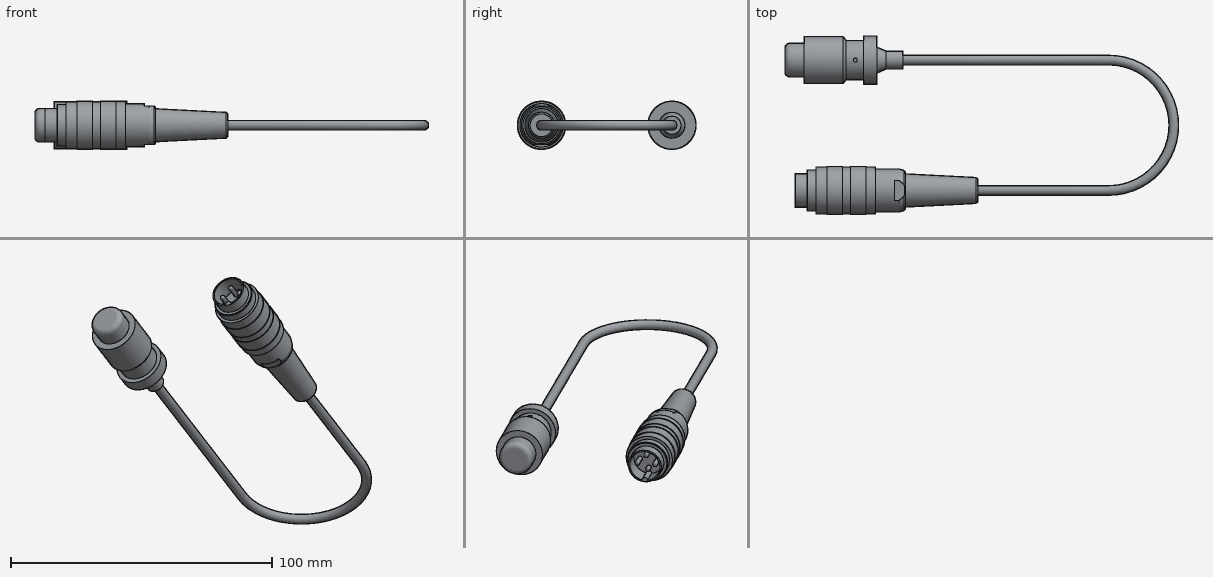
import cadquery as cq
import math

axis_spacing = 49.9
socket_y = axis_spacing / 2
plug_y = -axis_spacing / 2
bend_radius = axis_spacing / 2
cable_diameter = 3.8
overall_length = 150.8
socket_front = bend_radius + cable_diameter / 2 - overall_length
plug_setback = 3.9
plug_front = socket_front + plug_setback

nose_diameter = 13.0
socket_nose_fillet = 2.0
socket_nose_end = 7.4
socket_body_diameter = 18.1
socket_body_end = 22.3
socket_neck_start = 23.5
socket_neck_diameter = 15.1
socket_flange_start = 30.2
flange_diameter = 18.5
socket_flange_end = 35.3
socket_cone_diameter = 10.0
socket_cone_end = 38.8
socket_stem_diameter = 7.0
socket_length = 45.2
neck_hole_diameter = 1.5
neck_hole_station = 27.0
neck_hole_depth = 1.5

plug_nose_end = 4.5
ring_diameter = 15.8
ring_chamfer = 0.3
ring_end = 8.0
grip_diameter = 18.1
grip_end = 30.8
band_starts = (12.2, 21.3)
band_width = 5.9
shell_diameter = 16.6
shell_taper_start = 39.8
shell_taper_end = 41.8
shell_taper_diameter = 15.4
shell_end = 42.2
shell_end_diameter = 14.2
boot_start_diameter = 12.8
boot_end_diameter = 10.0
boot_edge_chamfer = 0.6
plug_length = 70.0
flat_start = 38.0
flat_height = 7.4

cavity_diameter = 11.8
cavity_depth = 7.5
key_diameter = 2.3
pin_circle_radius = 3.5
pin_diameter = 1.8
long_pin_recess = 2.0
short_pin_recess = 5.1
pin_tip_fillet = 0.5
pin_layout = (
    (0, long_pin_recess),
    (90, long_pin_recess),
    (180, long_pin_recess),
    (270, short_pin_recess),
)


def cross_section(x, y):
    """Workplane across a connector axis, drawing toward +X (local x is +Y, local y is +Z)."""
    return cq.Workplane("YZ", origin=(x, y, 0))


def revolved(points, x, y):
    """Turn a closed (station, radius) outline about the connector axis starting at (x, y)."""
    profile = cq.Workplane("XY", origin=(x, y, 0)).polyline(points).close()
    return profile.revolve(360, (0, 0, 0), (1, 0, 0))


def stepped_outline(steps):
    """Outline from the axis through (station, diameter) steps and back to the axis."""
    points = [(station, diameter / 2) for station, diameter in steps]
    return [(steps[0][0], 0), *points, (steps[-1][0], 0)]


def make_socket():
    outline = stepped_outline([
        (0, nose_diameter),
        (socket_nose_end, nose_diameter),
        (socket_nose_end, socket_body_diameter),
        (socket_body_end, socket_body_diameter),
        (socket_neck_start, socket_neck_diameter),
        (socket_flange_start, socket_neck_diameter),
        (socket_flange_start, flange_diameter),
        (socket_flange_end, flange_diameter),
        (socket_flange_end, socket_cone_diameter),
        (socket_cone_end, socket_stem_diameter),
        (socket_length, socket_stem_diameter),
    ])
    socket = revolved(outline, socket_front, socket_y)
    socket = socket.faces("<X").edges().fillet(socket_nose_fillet)
    hole_floor = socket_neck_diameter / 2 - neck_hole_depth
    hole = (
        cq.Workplane("XY", origin=(socket_front + neck_hole_station, socket_y, hole_floor))
        .circle(neck_hole_diameter / 2)
        .extrude(socket_neck_diameter)
    )
    return socket.cut(hole)


def make_plug_shell():
    steps = [
        (0, nose_diameter),
        (plug_nose_end, nose_diameter),
        (plug_nose_end, ring_diameter - 2 * ring_chamfer),
        (plug_nose_end + ring_chamfer, ring_diameter),
        (ring_end, ring_diameter),
        (ring_end, grip_diameter),
    ]
    for start in band_starts:
        steps += [
            (start, grip_diameter),
            (start, flange_diameter),
            (start + band_width, flange_diameter),
            (start + band_width, grip_diameter),
        ]
    steps += [
        (grip_end, grip_diameter),
        (grip_end, shell_diameter),
        (shell_taper_start, shell_diameter),
        (shell_taper_end, shell_taper_diameter),
        (shell_end, shell_end_diameter),
        (shell_end, boot_start_diameter),
        (plug_length, boot_end_diameter),
    ]
    plug = revolved(stepped_outline(steps), plug_front, plug_y)
    return plug.faces(">X").edges().chamfer(boot_edge_chamfer)


def cut_flats(plug):
    """Two parallel flats, above and below the axis, at the rear of the shell."""
    flat_length = shell_end - flat_start
    for side in (1, -1):
        center = (
            plug_front + flat_start + flat_length / 2,
            plug_y,
            side * (flat_height + shell_diameter / 2),
        )
        block = cq.Workplane("XY", origin=center).box(flat_length, shell_diameter, shell_diameter)
        plug = plug.cut(block)
    return plug


def cut_keyed_cavity(plug):
    """Round cavity in the plug front, with a round key along its lowest line."""
    cavity = cross_section(plug_front, plug_y).circle(cavity_diameter / 2).extrude(cavity_depth)
    key = (
        cross_section(plug_front, plug_y)
        .center(0, -cavity_diameter / 2)
        .circle(key_diameter / 2)
        .extrude(cavity_depth)
    )
    return plug.cut(cavity.cut(key))


def make_pin(angle, recess):
    """One contact pin standing on the cavity floor, at an angle in degrees from +Y toward +Z."""
    offset_y = pin_circle_radius * math.cos(math.radians(angle))
    offset_z = pin_circle_radius * math.sin(math.radians(angle))
    return (
        cross_section(plug_front + recess, plug_y)
        .center(offset_y, offset_z)
        .circle(pin_diameter / 2)
        .extrude(cavity_depth - recess)
        .faces("<X").edges().fillet(pin_tip_fillet)
    )


def make_cable():
    """Round cable from the rear of the socket, around the bend, to the rear of the plug."""
    socket_rear = socket_front + socket_length
    plug_rear = plug_front + plug_length
    path = (
        cq.Workplane("XY")
        .moveTo(socket_rear, socket_y)
        .lineTo(0, socket_y)
        .threePointArc((bend_radius, 0), (0, plug_y))
        .lineTo(plug_rear, plug_y)
    )
    return cross_section(socket_rear, socket_y).circle(cable_diameter / 2).sweep(path)


socket = make_socket()
plug = cut_keyed_cavity(cut_flats(make_plug_shell()))
pins = [make_pin(angle, recess) for angle, recess in pin_layout]
cable = make_cable()

result = cq.Compound.makeCompound(
    [socket.val(), plug.val(), cable.val(), *[pin.val() for pin in pins]]
)